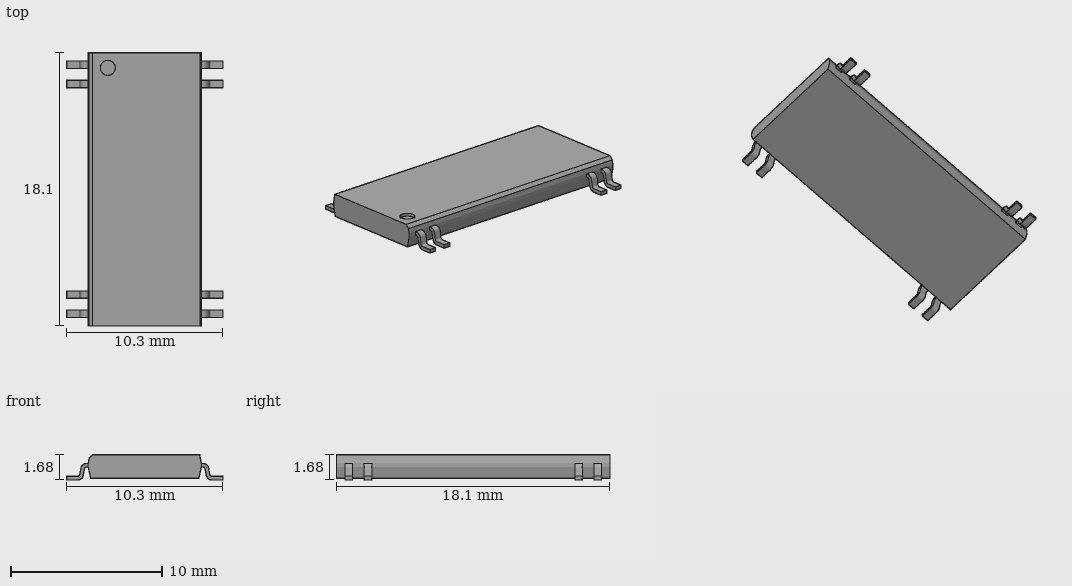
import cadquery as cq
import math

body_length = 18.1
belly_width = 7.5
body_top = 1.68
body_bottom = 0.1
top_inset = 0.1
bottom_inset = 0.16
bevel_drop = 0.24
bevel_top_inset = 0.29

mark_diameter = 1.0
mark_depth = 0.2
mark_x = -2.45
mark_y = 8.04

lead_span = 10.35
lead_width = 0.5
lead_thickness = 0.25
lead_top = 1.1
lead_pitch = 1.27
pitches_to_end_lead = 6.5
bend_radius = 0.13
shoulder_length = 0.1
lead_slope = math.radians(79)

belly_x = belly_width / 2
belly_top = lead_top
belly_bottom = lead_top - lead_thickness
outer_lead_y = pitches_to_end_lead * lead_pitch
inner_lead_y = outer_lead_y - lead_pitch


def make_body():
    """Flat moulded body, drafted above and below its belly and bevelled along the -X top edge."""
    bevel_share = (body_top - bevel_drop - belly_top) / (body_top - belly_top)
    bevel_foot_x = -belly_x + top_inset * bevel_share
    outline = [
        (-belly_x + bottom_inset, body_bottom),
        (belly_x - bottom_inset, body_bottom),
        (belly_x, belly_bottom),
        (belly_x, belly_top),
        (belly_x - top_inset, body_top),
        (-belly_x + bevel_top_inset, body_top),
        (bevel_foot_x, body_top - bevel_drop),
        (-belly_x, belly_top),
        (-belly_x, belly_bottom),
    ]
    block = cq.Workplane("XZ").polyline(outline).close().extrude(body_length / 2, both=True)
    mark = (
        cq.Workplane("XY", origin=(mark_x, mark_y, body_top - mark_depth))
        .circle(mark_diameter / 2)
        .extrude(mark_depth)
    )
    return block.cut(mark)


def make_lead():
    """Lead on the +X side, centred on Y = 0, with its foot resting on Z = 0."""
    inner = bend_radius
    outer = bend_radius + lead_thickness

    knee_x = belly_x + shoulder_length
    knee_z = lead_top - outer
    ankle_z = outer
    slant_drop = knee_z - ankle_z + (inner + outer) * math.cos(lead_slope)
    ankle_x = knee_x + (inner + outer) * math.sin(lead_slope) + slant_drop / math.tan(lead_slope)

    def knee_point(radius, turn):
        return (knee_x + radius * math.sin(turn), knee_z + radius * math.cos(turn))

    def ankle_point(radius, turn):
        return (ankle_x - radius * math.sin(turn), ankle_z - radius * math.cos(turn))

    half_turn = lead_slope / 2
    toe_x = lead_span / 2
    profile = (
        cq.Workplane("XZ")
        .moveTo(belly_x, belly_top)
        .lineTo(*knee_point(outer, 0))
        .threePointArc(knee_point(outer, half_turn), knee_point(outer, lead_slope))
        .lineTo(*ankle_point(inner, lead_slope))
        .threePointArc(ankle_point(inner, half_turn), ankle_point(inner, 0))
        .lineTo(toe_x, lead_thickness)
        .lineTo(toe_x, 0)
        .lineTo(*ankle_point(outer, 0))
        .threePointArc(ankle_point(outer, half_turn), ankle_point(outer, lead_slope))
        .lineTo(*knee_point(inner, lead_slope))
        .threePointArc(knee_point(inner, half_turn), knee_point(inner, 0))
        .lineTo(belly_x, belly_bottom)
        .close()
    )
    return profile.extrude(lead_width / 2, both=True)


def make_leads():
    """Two leads near each corner of the body; those on the -X side are turned half round Z."""
    leads = []
    for side_angle in (0, 180):
        side_lead = make_lead().rotate((0, 0, 0), (0, 0, 1), side_angle)
        for lead_y in (-outer_lead_y, -inner_lead_y, inner_lead_y, outer_lead_y):
            leads.append(side_lead.translate((0, lead_y, 0)).val())
    return leads


body = make_body()
leads = make_leads()
result = cq.Compound.makeCompound([body.val(), *leads])